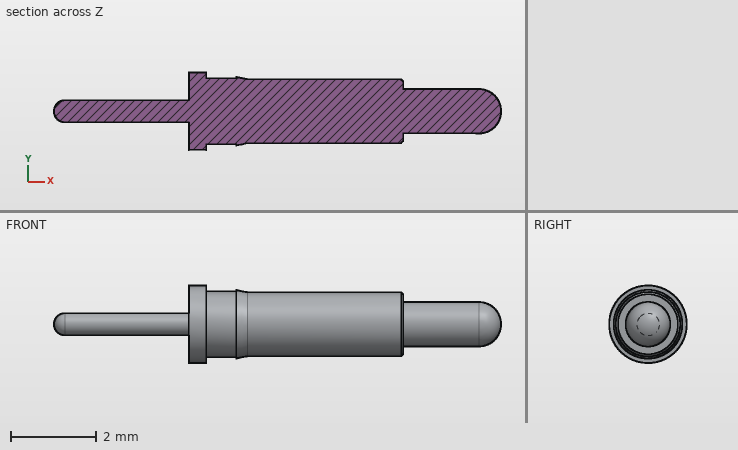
import cadquery as cq

total_length = 10.49
tail_radius = 0.26
flange_radius = 0.91
collar_radius = 0.78
ring_radius = 0.81
barrel_radius = 0.76
plunger_radius = 0.52
barrel_chamfer = 0.05

tail_start = -total_length / 2
flange_start = tail_start + 3.17
flange_end = flange_start + 0.41
ring_start = flange_end + 0.7
ring_end = ring_start + 0.25
barrel_end = ring_end + 3.66
plunger_end = total_length / 2


def cylinder(start, end, radius):
    """Round section along X between two stations."""
    return cq.Workplane("YZ").workplane(offset=start).circle(radius).extrude(end - start)


tail = cylinder(tail_start + tail_radius, flange_start, tail_radius)
tail_tip = cq.Workplane("XY").sphere(tail_radius).translate((tail_start + tail_radius, 0, 0))
plunger = cylinder(barrel_end, plunger_end - plunger_radius, plunger_radius)
plunger_tip = cq.Workplane("XY").sphere(plunger_radius).translate((plunger_end - plunger_radius, 0, 0))

flange = cylinder(flange_start, flange_end, flange_radius)
collar = cylinder(flange_end, ring_start, collar_radius)
ring = (
    cq.Workplane("XY")
    .moveTo(ring_start, 0)
    .lineTo(ring_start, ring_radius)
    .lineTo(ring_end, barrel_radius)
    .lineTo(ring_end, 0)
    .close()
    .revolve(360, (0, 0, 0), (1, 0, 0))
)
barrel = cylinder(ring_end, barrel_end, barrel_radius).faces(">X").chamfer(barrel_chamfer)

result = flange
for section in (collar, ring, barrel, plunger, plunger_tip, tail, tail_tip):
    result = result.union(section)